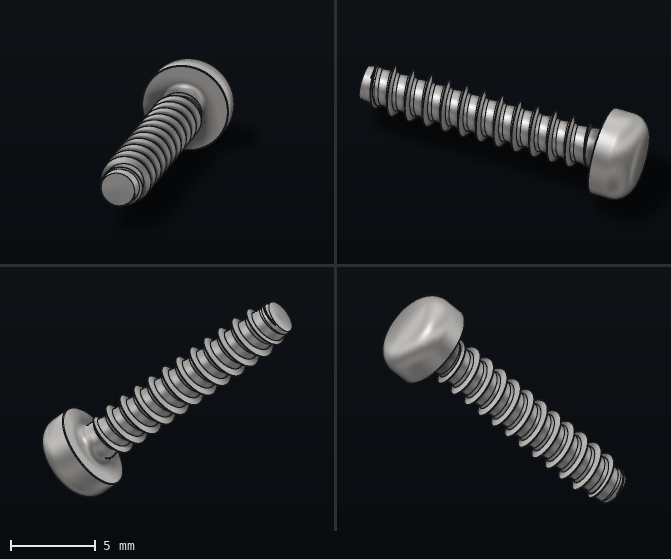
import cadquery as cq
import math


head_radius = 2.65
head_height = 2.3
crown_radius = 1.15
rim_chamfer = 0.05

shank_length = 15.0
neck_radius = 1.18
neck_fillet = 0.5
neck_end = 0.75
neck_taper_angle = 11.0
core_radius = 1.06
core_start = 0.25
tip_radius = 1.03
tip_taper_length = 0.5
tip_taper_angle = 10.0
tip_dimple_depth = 0.09

crest_radius = 1.5
crest_width = 0.05
pitch = 1.12
flank_angle = 22.5
buried_radius = 0.95
run_in_turns = 1.25
run_out_turns = 1.45
thread_start = 0.43
full_turns = 10.25
thread_start_angle = -90.0
run_in_crest_radius = 1.16
run_out_crest_radius = 1.08

swell_radius_head_side = 1.13
swell_radius_tip_side = 1.117
swell_half_width = 0.16
swell_head_reach = 0.40

CYLINDER = 360.0


def head_and_neck():
    """Turned head and neck, ending in a taper that dives into the core."""
    taper_length = (neck_radius - buried_radius) / math.tan(math.radians(neck_taper_angle))
    arc_middle = math.sqrt(0.5)
    crown_center_r = head_radius - crown_radius
    crown_center_z = crown_radius - head_height
    fillet_center_r = neck_radius + neck_fillet
    profile = (
        cq.Workplane("XZ")
        .moveTo(0, -head_height)
        .lineTo(crown_center_r, -head_height)
        .threePointArc(
            (crown_center_r + crown_radius * arc_middle, crown_center_z - crown_radius * arc_middle),
            (head_radius, crown_center_z),
        )
        .lineTo(head_radius, -rim_chamfer)
        .lineTo(head_radius - rim_chamfer, 0)
        .lineTo(fillet_center_r, 0)
        .threePointArc(
            (fillet_center_r - neck_fillet * arc_middle, neck_fillet - neck_fillet * arc_middle),
            (neck_radius, neck_fillet),
        )
        .lineTo(neck_radius, neck_end)
        .lineTo(buried_radius, neck_end + taper_length)
        .lineTo(0, neck_end + taper_length)
        .close()
    )
    return profile.revolve(360, (0, 0, 0), (0, 1, 0)).val()


def helix_edge(offset, radius, start_depth, turns, radial_growth=0.0):
    """Right-hand helix of the thread, shifted by offset from the crest line.

    radial_growth is the change of radius from its first end to its last.
    """
    height = turns * pitch
    if radial_growth:
        slant = math.hypot(1, radial_growth / height)
        cone_angle = math.degrees(math.atan2(radial_growth, height))
    else:
        slant = 1
        cone_angle = CYLINDER
    helix = cq.Wire.makeHelix(pitch * slant, height * slant, radius, angle=cone_angle).Edges()[0]
    turned = thread_start_angle + 360 * (start_depth - thread_start) / pitch
    placed = helix.translate(cq.Vector(0, 0, start_depth + offset))
    return placed.rotate(cq.Vector(0, 0, 0), cq.Vector(0, 0, 1), turned)


def polygon_face(corners):
    """Flat face with the given corners."""
    return cq.Face.makeFromWires(cq.Wire.makePolygon(corners, close=True))


def solid_from(faces):
    """Solid enclosed by faces that meet along their edges."""
    return cq.Solid.makeSolid(cq.Shell.makeShell(faces))


def helical_bar(section, start_depth, turns, radial_growth=0.0):
    """Solid swept by a section of (offset, radius) corners along the thread helix."""
    edges = [helix_edge(offset, radius, start_depth, turns, radial_growth) for offset, radius in section]
    next_edges = edges[1:] + edges[:1]
    faces = [cq.Face.makeRuledSurface(edge, after) for edge, after in zip(edges, next_edges)]
    for end in (0, 1):
        faces.append(polygon_face([edge.positionAt(end) for edge in edges]))
    return solid_from(faces)


def tooth_section(top_radius):
    """Pointed thread tooth with its crest at the given radius and its foot inside the core."""
    crest_half = crest_width / 2
    depth = crest_radius - buried_radius
    foot_half = crest_half + depth * math.tan(math.radians(flank_angle))
    foot_radius = top_radius - depth
    return [
        (-foot_half, foot_radius),
        (-crest_half, top_radius),
        (crest_half, top_radius),
        (foot_half, foot_radius),
    ]


def thread_tooth():
    """Tooth in three lengths: rising out of the neck, at full height and sinking into the core."""
    full_start = thread_start + run_in_turns * pitch
    full_end = full_start + full_turns * pitch
    run_in = helical_bar(
        tooth_section(run_in_crest_radius), thread_start, run_in_turns, crest_radius - run_in_crest_radius
    )
    full = helical_bar(tooth_section(crest_radius), full_start, full_turns)
    run_out = helical_bar(
        tooth_section(crest_radius), full_end, run_out_turns, run_out_crest_radius - crest_radius
    )
    tip_limit = cq.Solid.makeCylinder(head_radius, shank_length - tip_dimple_depth)
    return [run_in, full, run_out.intersect(tip_limit)]


def core_limit():
    """Turned envelope that cuts the core to length with a tapered end and a shallow conical dimple."""
    taper_radius = tip_radius + tip_taper_length * math.tan(math.radians(tip_taper_angle))
    profile = (
        cq.Workplane("XZ")
        .moveTo(0, core_start)
        .lineTo(crest_radius, core_start)
        .lineTo(crest_radius, shank_length - tip_taper_length)
        .lineTo(taper_radius, shank_length - tip_taper_length)
        .lineTo(tip_radius, shank_length)
        .lineTo(0, shank_length - tip_dimple_depth)
        .close()
    )
    return profile.revolve(360, (0, 0, 0), (0, 1, 0)).val()


def swelled_core():
    """Overlong core with a low helical swell under the tooth, built turn by turn."""
    section = [
        (-swell_head_reach, core_radius),
        (-swell_half_width, swell_radius_head_side),
        (swell_half_width, swell_radius_tip_side),
        (pitch - swell_head_reach, core_radius),
    ]
    first_depth = thread_start - pitch
    turn_count = math.ceil(shank_length / pitch) + 2
    faces = []
    for turn in range(turn_count):
        edges = [helix_edge(offset, radius, first_depth + turn * pitch, 1) for offset, radius in section]
        faces += [cq.Face.makeRuledSurface(edge, after) for edge, after in zip(edges, edges[1:])]
        if turn == 0:
            faces += core_end(edges, edges[0])
    faces += core_end(edges, edges[-1])
    return solid_from(faces)


def core_end(edges, rim):
    """End of the core: a helicoid from the axis to the rim helix and the flat step that closes it."""
    low = min(rim.positionAt(end).z for end in (0, 1))
    axis_low = cq.Vector(0, 0, low)
    axis_high = cq.Vector(0, 0, low + pitch)
    helicoid = cq.Face.makeRuledSurface(cq.Edge.makeLine(axis_low, axis_high), rim)
    step_end = 0 if rim is edges[0] else 1
    corners = [edge.positionAt(step_end) for edge in edges]
    return [helicoid, polygon_face([axis_low] + corners + [axis_high])]


core = swelled_core().intersect(core_limit())
screw = head_and_neck().fuse(core).fuse(*thread_tooth())
result = cq.Workplane(screw.Solids()[0]).rotate((0, 0, 0), (1, 0, 0), 90)